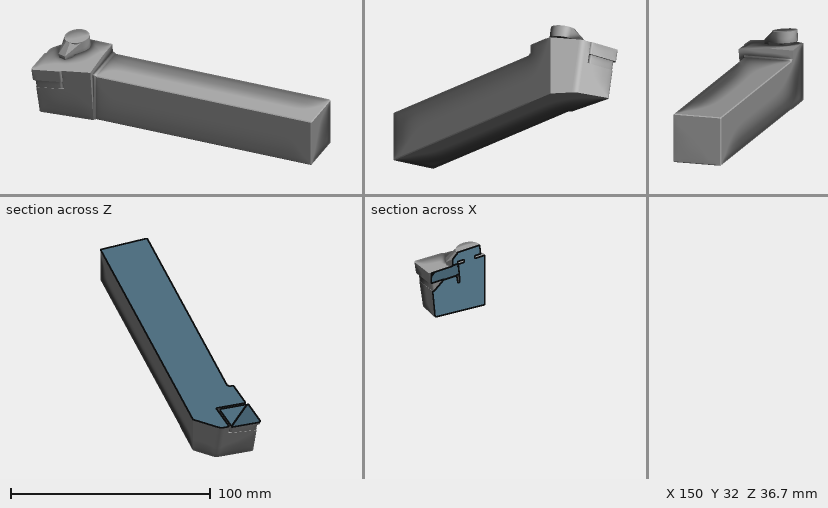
import cadquery as cq
import math

TOTAL_LENGTH = 150.0
SHANK_SIZE = 25.0
SHANK_CHAMFER = 0.5

NOSE_Y = -32.0
NOSE_Z = 25.2
TOP_SLOPE = 0.095
HEAD_HEIGHT = 30.0
HEAD_END_BOTTOM = 31.8
HEAD_END_TOP = 31.0
BACK_BEVEL_OFFSET = 18.0
BEVEL_RADIUS = 5.0
HEAD_NOSE_RADIUS = 1.2
COLLAR_LENGTH = 0.9
COLLAR_GROWTH = 0.6

INSERT_EDGE = 16.0
INSERT_LEAD = 5.0
INSERT_CORNER = 80.0
INSERT_THICKNESS = 6.3
INSERT_RADIUS = 1.2
SHARP_CORNER_X = -0.1
SHARP_CORNER_Y = -0.12
SHIM_THICKNESS = 4.6
INSET = 0.7
SHIM_INSET = 0.9

CLAMP_X = 16.5
CLAMP_Y = 23.5
CLAMP_RADIUS = 6.37
CLAMP_TOP = 7.0
CLAMP_GAP = 1.3
POST_RADIUS = 3.0
FINGER_ANGLE = 248.0
STRIP_HALF_ANGLE = 11.0
LEFT_ANGLE = 188.0
RIGHT_ANGLE = 318.0
FINGER_REACH = 11.8
FINGER_TIP_WIDTH = 4.5
FINGER_TIP_HEIGHT = 2.1

SEAT = cq.Plane(
    origin=(0, NOSE_Y, NOSE_Z),
    xDir=(1, 0, TOP_SLOPE),
    normal=(-TOP_SLOPE, -TOP_SLOPE, 1),
)


def polar(angle, length=1.0):
    turn = math.radians(angle)
    return cq.Vector(length * math.cos(turn), length * math.sin(turn), 0)


FRONT_DIR = polar(INSERT_LEAD)
LEFT_DIR = polar(INSERT_LEAD + INSERT_CORNER)
SHARP_CORNER = cq.Vector(SHARP_CORNER_X, SHARP_CORNER_Y, 0)


def rhombus_prism(inset, depth, thickness, corner_radius):
    """Rhombus moved in by `inset` on all edges, from `depth` below the seat downwards."""
    edge_trim = inset / math.sin(math.radians(INSERT_CORNER))
    corner = SHARP_CORNER + (FRONT_DIR + LEFT_DIR) * edge_trim
    edge = INSERT_EDGE - 2 * edge_trim
    points = [
        corner,
        corner + FRONT_DIR * edge,
        corner + (FRONT_DIR + LEFT_DIR) * edge,
        corner + LEFT_DIR * edge,
    ]
    prism = (
        cq.Workplane(SEAT)
        .workplane(offset=-depth)
        .polyline([(p.x, p.y) for p in points])
        .close()
        .extrude(-thickness)
    )
    if corner_radius > 0:
        prism = prism.edges(cq.selectors.ParallelDirSelector(SEAT.zDir)).fillet(corner_radius)
    return prism


def make_head():
    """Head with walls square to the seat, trimmed by the back, bottom, top and end faces."""
    beyond = 2 * HEAD_END_BOTTOM
    inset_step = INSET / math.sin(math.radians(INSERT_CORNER))
    nose = SHARP_CORNER + (FRONT_DIR + LEFT_DIR) * inset_step
    left_length = (BACK_BEVEL_OFFSET - nose.y + nose.x) / (LEFT_DIR.y - LEFT_DIR.x)
    bevel_start = nose + LEFT_DIR * left_length
    front_end = nose + FRONT_DIR * beyond
    outline = (
        cq.Workplane(SEAT)
        .polyline([
            (nose.x, nose.y),
            (front_end.x, front_end.y),
            (beyond, beyond + BACK_BEVEL_OFFSET),
            (bevel_start.x, bevel_start.y),
        ])
        .close()
        .extrude(-beyond)
    )
    bevel_edge = cq.selectors.NearestToPointSelector(
        SEAT.toWorldCoords((bevel_start.x, bevel_start.y, -beyond / 2)).toTuple()
    )
    nose_edge = cq.selectors.NearestToPointSelector(
        SEAT.toWorldCoords((nose.x, nose.y, -beyond / 2)).toTuple()
    )
    outline = outline.edges(bevel_edge).fillet(BEVEL_RADIUS)
    outline = outline.edges(nose_edge).fillet(HEAD_NOSE_RADIUS)
    envelope = (
        cq.Workplane("XZ")
        .polyline([
            (-beyond, 0),
            (HEAD_END_BOTTOM, 0),
            (HEAD_END_TOP, HEAD_HEIGHT),
            (-beyond, HEAD_HEIGHT),
        ])
        .close()
        .extrude(beyond)
    )
    return outline.intersect(envelope)


def make_shank():
    """Square bar with chamfered long edges and far end."""
    start = HEAD_END_BOTTOM + COLLAR_LENGTH
    return (
        cq.Workplane("YZ", origin=(start, 0, 0))
        .center(-SHANK_SIZE / 2, SHANK_SIZE / 2)
        .rect(SHANK_SIZE, SHANK_SIZE)
        .extrude(TOTAL_LENGTH - start)
        .edges("|X or >X")
        .chamfer(SHANK_CHAMFER)
    )


def make_collar():
    """Short neck that widens from the shank to the head end face."""
    wide = SHANK_SIZE + COLLAR_GROWTH
    taper = (
        cq.Workplane("YZ", origin=(HEAD_END_BOTTOM, 0, 0))
        .polyline([(0, 0), (-wide, 0), (-wide, wide), (0, wide)])
        .close()
        .workplane(offset=COLLAR_LENGTH)
        .polyline([(0, 0), (-SHANK_SIZE, 0), (-SHANK_SIZE, SHANK_SIZE), (0, SHANK_SIZE)])
        .close()
        .loft(ruled=True)
    )
    root = cq.Workplane("XY").box(
        HEAD_END_BOTTOM - HEAD_END_TOP, wide, wide, centered=False
    )
    return taper.union(root.translate((HEAD_END_TOP, -wide, 0)))


def polygon_face(points):
    world = [SEAT.toWorldCoords(point.toTuple()) for point in points]
    return cq.Face.makeFromWires(cq.Wire.makePolygon(world, close=True))


def make_finger():
    """Faceted finger from the clamp disc down to its tip on the insert."""
    centre = cq.Vector(CLAMP_X, CLAMP_Y, 0)
    low_rim = [
        centre + polar(angle, CLAMP_RADIUS)
        for angle in (
            LEFT_ANGLE,
            FINGER_ANGLE - STRIP_HALF_ANGLE,
            FINGER_ANGLE + STRIP_HALF_ANGLE,
            RIGHT_ANGLE,
        )
    ]
    left, strip_left, strip_right, right = [p + cq.Vector(0, 0, CLAMP_TOP) for p in low_rim]
    left_low = low_rim[0]
    right_low = low_rim[-1]
    tip_centre = centre + polar(FINGER_ANGLE, FINGER_REACH)
    half_tip = polar(FINGER_ANGLE + 90, FINGER_TIP_WIDTH / 2)
    tip_left_low = tip_centre - half_tip
    tip_right_low = tip_centre + half_tip
    tip_rise = cq.Vector(0, 0, FINGER_TIP_HEIGHT)
    tip_left = tip_left_low + tip_rise
    tip_right = tip_right_low + tip_rise
    faces = [
        polygon_face([left_low, tip_left_low, tip_right_low, right_low]),
        polygon_face([left, strip_left, strip_right, right]),
        polygon_face([strip_left, strip_right, tip_right, tip_left]),
        polygon_face([left, strip_left, tip_left]),
        polygon_face([right, strip_right, tip_right]),
        polygon_face([left, tip_left, tip_left_low, left_low]),
        polygon_face([right, tip_right, tip_right_low, right_low]),
        polygon_face([tip_left, tip_right, tip_right_low, tip_left_low]),
        polygon_face([left, right, right_low, left_low]),
    ]
    return cq.Workplane(cq.Solid.makeSolid(cq.Shell.makeShell(faces)))


def clamp_cylinder(radius, bottom, top):
    return (
        cq.Workplane(SEAT)
        .workplane(offset=bottom)
        .center(CLAMP_X, CLAMP_Y)
        .circle(radius)
        .extrude(top - bottom)
    )


def make_clamp():
    """Disc and finger on a post, relieved underneath except for the toe over the insert."""
    disc = clamp_cylinder(CLAMP_RADIUS, CLAMP_GAP, CLAMP_TOP)
    post = clamp_cylinder(POST_RADIUS, 0, CLAMP_GAP)
    over_insert = rhombus_prism(0, 0, -CLAMP_GAP, 0)
    relief = clamp_cylinder(CLAMP_RADIUS + FINGER_REACH, 0, CLAMP_GAP).cut(over_insert)
    return disc.union(make_finger().cut(relief)).union(post)


def make_insert():
    return rhombus_prism(0, 0, INSERT_THICKNESS, INSERT_RADIUS)


def make_holder():
    """Shank, head, shim and clamp as one solid, with an open pocket for the insert."""
    pocket = rhombus_prism(0, 0, INSERT_THICKNESS + SHIM_THICKNESS, 0)
    shim = rhombus_prism(SHIM_INSET, INSERT_THICKNESS, SHIM_THICKNESS, HEAD_NOSE_RADIUS)
    body = make_head().union(make_collar()).union(make_shank())
    return body.cut(pocket).union(shim).union(make_clamp())


insert = make_insert()
holder = make_holder()
result = cq.Compound.makeCompound([holder.solids().val(), insert.val()])